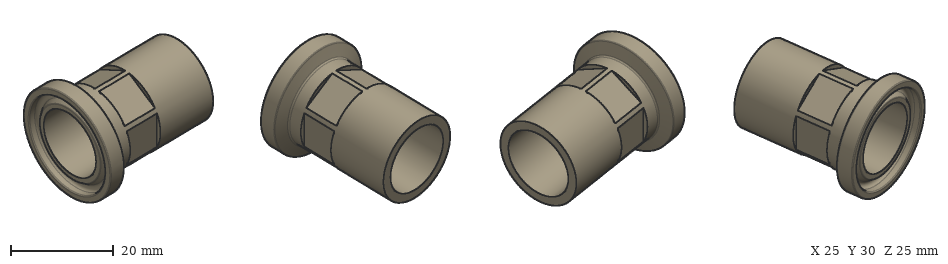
import cadquery as cq

length = 30.0
bore_radius = 7.5
tube_radius = 19.05 / 2

flange_radius = 25.0 / 2
rim_thickness = 3.65
cone_end = 4.75
rim_edge_radius = 0.2
neck_fillet = 0.4

lip_setback = 0.85
inner_lip_radius = 8.67
inner_lip_edge = 0.2
groove_inner_radius = 9.45
groove_wall_start = 1.5
groove_bottom = 2.25
groove_inner_depth = 1.95
groove_outer_radius = 10.9
groove_edge_radius = 0.25

flat_count = 6
across_flats = 17.05
flats_start = 8.0
flats_length = 8.0
cutter_clearance = 0.3


def make_body():
    """Revolve the tube, flange and front groove about the Y axis."""
    groove_floor_middle = (groove_inner_radius + groove_outer_radius) / 2
    profile = (
        cq.Workplane("XY")
        .moveTo(bore_radius, lip_setback)
        .lineTo(inner_lip_radius, lip_setback)
        .lineTo(groove_inner_radius, groove_inner_depth)
        .threePointArc(
            (groove_floor_middle, groove_bottom),
            (groove_outer_radius, groove_wall_start),
        )
        .lineTo(groove_outer_radius, 0)
        .lineTo(flange_radius, 0)
        .lineTo(flange_radius, rim_thickness)
        .lineTo(tube_radius, cone_end)
        .lineTo(tube_radius, length)
        .lineTo(bore_radius, length)
        .close()
    )
    return profile.revolve(360, (0, 0, 0), (0, 1, 0))


def circle_edge(radius, y):
    """Select the circular edges of a given radius at one axial position."""
    gap = 0.03
    reach = radius + gap
    outer = cq.selectors.BoxSelector(
        (-reach, y - gap, -reach), (reach, y + gap, reach), boundingbox=True
    )
    inner_reach = radius - gap
    inner = cq.selectors.BoxSelector(
        (-inner_reach, y - gap, -inner_reach), (inner_reach, y + gap, inner_reach), boundingbox=True
    )
    return outer - inner


def round_edges(body):
    """Round the rim, groove mouth, inner lip and flange neck."""
    for radius, y, fillet in (
        (flange_radius, 0, rim_edge_radius),
        (flange_radius, rim_thickness, rim_edge_radius),
        (groove_outer_radius, 0, groove_edge_radius),
        (inner_lip_radius, lip_setback, inner_lip_edge),
        (tube_radius, cone_end, neck_fillet),
    ):
        body = body.edges(circle_edge(radius, y)).fillet(fillet)
    return body


def cut_flats(body):
    """Cut a ring of wrench flats, with one pair facing +X and -X."""
    depth = tube_radius - across_flats / 2 + cutter_clearance
    for index in range(flat_count):
        cutter = (
            cq.Workplane("XY")
            .box(depth, flats_length, 2 * tube_radius, centered=(False, False, True))
            .translate((across_flats / 2, flats_start, 0))
            .rotate((0, 0, 0), (0, 1, 0), index * 360 / flat_count)
        )
        body = body.cut(cutter)
    return body


result = cut_flats(round_edges(make_body()))